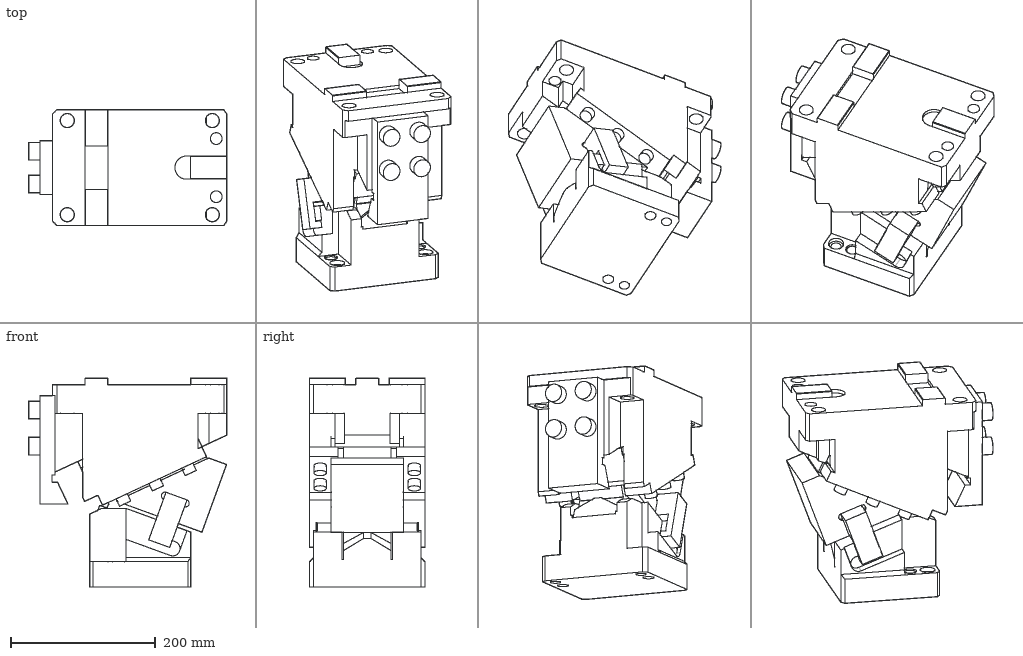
import cadquery as cq
import math


HALF_WIDTH = 80.0
OVERSHOOT = 14.5

GUIDE_ANGLE = math.radians(25)
GUIDE_X, GUIDE_Z = 17.5, 113.3
BED_ANGLE = math.radians(20)
BED_X, BED_Z = 50.0, 109.0

BASE_LENGTH = 140.0
FLANGE_HEIGHT = 35.3
CORNER_X, CORNER_Y = 4.3, 6.0
NOSE_HALF_WIDTH = 50.3
NOSE_EDGE_HEIGHT = 101.2
SHOULDER_HALF_WIDTH = 74.5
SHOULDER_CHAMFER = HALF_WIDTH - SHOULDER_HALF_WIDTH
CHEEK_HALF_WIDTH = 59.2
RAIL_HALF_WIDTH = 69.5
RAIL_START = 51.5
HOOK_POCKET_END = 90.0
HOOK_SLOT_RADIUS = 10.0
HOOK_SLOT_LEVEL = -30.0
GROOVE_HALF_WIDTH = 35.0
GROOVE_FLOOR = -35.5
RIDGE_LEVEL = -8.5
RIDGE_HALF_WIDTH = 5.5
ROOF_HALF_WIDTH = 33.0
ROOF_PITCH = math.radians(30)
EAVE_LEVEL = RIDGE_LEVEL - (ROOF_HALF_WIDTH - RIDGE_HALF_WIDTH) * math.tan(ROOF_PITCH)
ROOF_START = -35.5
NOSE_POCKET_FLOOR = -39.0
FOOT_HOLE_Y = 65.0
FOOT_SCREW_X, FOOT_SCREW_DIAMETER = 15.0, 14.0
FOOT_BORE_DIAMETER, FOOT_BORE_DEPTH = 20.5, 5.8
FOOT_DOWEL_X, FOOT_DOWEL_DIAMETER, FOOT_DOWEL_CHAMFER = 40.0, 15.0, 1.5

PLATE_LEFT, PLATE_RIGHT = -51.5, 189.5
PLATE_BOTTOM, PLATE_TOP = 240.2, 280.0
PLATE_CHAMFER = 6.0
PLATE_HOLE_XS = (-31.0, 169.4)
PLATE_HOLE_Y, PLATE_HOLE_DIAMETER = 65.0, 19.0
DOWEL_X, DOWEL_Y, DOWEL_DIAMETER = 174.8, 40.2, 16.2

KEY_TOP = 289.0
KEY_WIDTH = 32.0
KEY_LENGTH = 50.0
KEY_CHAMFER = 1.0
KEYWAY_DEPTH = 5.0
CROSS_KEY_X = 9.2
LONG_KEYWAY_ARC_X = 133.8

CHEEK_LEFT, CHEEK_RIGHT = -9.8, 149.7
CHEEK_TIP = -20.2
RIB_HALF_WIDTH = 44.8
RIB_RIGHT = 165.0
TAIL_HALF_WIDTH = 31.2
RETAINER_THICKNESS = 15.0
RETAINER_LENGTH = 158.7
RETAINER_INNER_Y = 40.2
RETAINER_SCREWS = 3
RETAINER_SCREW_PITCH = 50.0
RETAINER_SCREW_Y = 65.0
RETAINER_HEAD_DIAMETER, RETAINER_HEAD_HEIGHT = 17.0, 11.3
STOP_LEFT, STOP_SEAT = -68.8, -47.7
STOP_BOTTOM, STOP_TOP = 114.7, 264.7
STOP_HALF_WIDTH = 37.3
STOP_NOTCH_X = -52.0
STOP_NOTCH_BOTTOM, STOP_NOTCH_TOP = 145.0, 155.0
STOP_LIP_X, STOP_TOE_X = -44.2, -29.8
STOP_SCREW_Z, STOP_SCREW_PITCH_Y, STOP_SCREW_PITCH_Z = 220.0, 45.0, 50.0
STOP_HEAD_DIAMETER, STOP_HEAD_HEIGHT = 24.5, 15.5

HEAD_START, HEAD_END = -5.5, 153.0
HEAD_TOP = 69.0
HEAD_CHAMFER = 7.8
HEAD_HALF_WIDTH = 50.3
PAD_HALF_WIDTH, PAD_THICKNESS = 49.0, 9.8
NECK_START = 8.5
SLIDE_HALF_WIDTH = 50.0
SLIDE_GAP = 3.0
SLIDE_UNDERSIDE = 5.0
SLIDE_HEIGHT = 99.7
SLIDE_END = 110.0
KEEL_START, KEEL_END = -24.9, 75.0
HOOK_START, HOOK_WIDTH = 44.5, 31.0
HOOK_BOTTOM, HOOK_LENGTH = -30.0, 70.0
HOOK_INNER_Y = 70.5
HOOK_ROOT_LEVEL = 6.0
HOOK_TOE_Y, HOOK_TOE_HEIGHT = 62.7, 9.2
HOOK_SEAT_LENGTH, HOOK_SEAT_WIDTH, HOOK_SEAT_DEPTH = 40.2, 10.0, 5.0


def guide(along, above):
    """XZ point in the frame rising along the guide slot."""
    x = GUIDE_X + along * math.cos(GUIDE_ANGLE) - above * math.sin(GUIDE_ANGLE)
    z = GUIDE_Z + along * math.sin(GUIDE_ANGLE) + above * math.cos(GUIDE_ANGLE)
    return x, z


def bed(along, above):
    """XZ point in the frame falling along the bed of the base."""
    x = BED_X + along * math.cos(BED_ANGLE) + above * math.sin(BED_ANGLE)
    z = BED_Z - along * math.sin(BED_ANGLE) + above * math.cos(BED_ANGLE)
    return x, z


def guide_at_x(x, above):
    """Point with a given X on a line parallel to the guide slot."""
    along = (x - GUIDE_X + above * math.sin(GUIDE_ANGLE)) / math.cos(GUIDE_ANGLE)
    return guide(along, above)


def bed_at_x(x, above):
    """Point with a given X on a line parallel to the bed."""
    along = (x - BED_X - above * math.sin(BED_ANGLE)) / math.cos(BED_ANGLE)
    return bed(along, above)


def guide_meets_bed(above_guide, above_bed):
    """Point where a line parallel to the guide slot crosses one parallel to the bed."""
    start_x, start_z = guide(0, above_guide)
    start_height = (start_x - BED_X) * math.sin(BED_ANGLE) + (start_z - BED_Z) * math.cos(BED_ANGLE)
    along = (above_bed - start_height) / math.sin(GUIDE_ANGLE + BED_ANGLE)
    return guide(along, above_guide)


def rectangle(frame, start, end, low, high):
    return [frame(start, low), frame(end, low), frame(end, high), frame(start, high)]


def prism(points, half_width):
    """Solid with an XZ outline, centred on Y = 0."""
    return cq.Workplane("XZ").polyline(points).close().extrude(half_width, both=True)


def side_prisms(points, inner_y, outer_y):
    """Pair of solids with an XZ outline, one on each side of Y = 0."""
    near = cq.Workplane("XZ", origin=(0, -inner_y, 0)).polyline(points).close().extrude(outer_y - inner_y)
    return near.union(near.mirror("XZ"))


def box(x_range, y_range, z_range):
    (x0, x1), (y0, y1), (z0, z1) = x_range, y_range, z_range
    return cq.Workplane("XY").box(x1 - x0, y1 - y0, z1 - z0, centered=False).translate((x0, y0, z0))


def rounded_slots(start, end, level, radius, inner_y, outer_y):
    """Pair of round-ended slots between two end centres, parallel to the bed."""
    middle_x, middle_z = bed((start + end) / 2, level)
    near = (
        cq.Workplane("XZ", origin=(middle_x, -inner_y, middle_z))
        .slot2D(end - start + 2 * radius, 2 * radius, -math.degrees(BED_ANGLE))
        .extrude(outer_y - inner_y)
    )
    return near.union(near.mirror("XZ"))


def roof(start, end, bottom):
    """Roof-shaped bar lying along the bed."""
    x, z = bed(start, 0)
    across_bed = cq.Plane(
        origin=(x, 0, z),
        xDir=(0, 1, 0),
        normal=(math.cos(BED_ANGLE), 0, -math.sin(BED_ANGLE)),
    )
    right_half = [(ROOF_HALF_WIDTH, bottom), (ROOF_HALF_WIDTH, EAVE_LEVEL), (RIDGE_HALF_WIDTH, RIDGE_LEVEL)]
    left_half = [(-y, height) for y, height in reversed(right_half)]
    return cq.Workplane(across_bed).polyline(right_half + left_half).close().extrude(end - start)


def nose_top_corner():
    """Point where the sloping edge of the nose reaches its flat top."""
    return (BED_Z - NOSE_EDGE_HEIGHT) / math.tan(GUIDE_ANGLE), BED_Z


def base_blank():
    flange = box((0, BASE_LENGTH), (-HALF_WIDTH, HALF_WIDTH), (0, FLANGE_HEIGHT + SHOULDER_CHAMFER))
    for side in (-1, 1):
        edge = (
            cq.Workplane("YZ")
            .polyline([
                (side * HALF_WIDTH, FLANGE_HEIGHT),
                (side * SHOULDER_HALF_WIDTH, FLANGE_HEIGHT + SHOULDER_CHAMFER),
                (side * HALF_WIDTH, FLANGE_HEIGHT + SHOULDER_CHAMFER),
            ])
            .close()
            .extrude(BASE_LENGTH)
        )
        flange = flange.cut(edge)
    pads = box((0, BED_X), (-HALF_WIDTH, HALF_WIDTH), (FLANGE_HEIGHT, BED_Z))
    nose = prism(
        [(0, 0), (0, NOSE_EDGE_HEIGHT), nose_top_corner(), (BED_X, BED_Z), (BED_X, 0)],
        NOSE_HALF_WIDTH,
    )
    shoulder = prism(
        [(BED_X, 0), (BED_X, BED_Z), bed_at_x(BASE_LENGTH, 0), (BASE_LENGTH, 0)],
        SHOULDER_HALF_WIDTH,
    )
    blank = flange.cut(pads).union(nose).union(shoulder)
    return blank.intersect(chamfered_outline())


def chamfered_outline():
    """Tall block with the chamfered footprint of the base."""
    y = HALF_WIDTH
    corner_points = [
        (CORNER_X, -y), (BASE_LENGTH - CORNER_X, -y),
        (BASE_LENGTH, CORNER_Y - y), (BASE_LENGTH, y - CORNER_Y),
        (BASE_LENGTH - CORNER_X, y), (CORNER_X, y),
        (0, y - CORNER_Y), (0, CORNER_Y - y),
    ]
    return cq.Workplane("XY").polyline(corner_points).close().extrude(BED_Z + OVERSHOOT)


def make_base():
    base = base_blank()

    slot_end = HOOK_POCKET_END - HOOK_SLOT_RADIUS
    slot_floor = HOOK_SLOT_LEVEL - HOOK_SLOT_RADIUS
    outer_y = HALF_WIDTH + OVERSHOOT
    past_left = -BED_X
    rail_face = rectangle(bed, past_left, HOOK_POCKET_END, HOOK_SLOT_LEVEL, OVERSHOOT)
    entry = rectangle(bed, past_left, RAIL_START, slot_floor, OVERSHOOT)
    behind_nose = box((BED_X, BASE_LENGTH), (-outer_y, outer_y), (0, BED_Z + OVERSHOOT))
    pockets = (
        side_prisms(rail_face, RAIL_HALF_WIDTH, outer_y)
        .union(side_prisms(entry, CHEEK_HALF_WIDTH, outer_y))
        .union(rounded_slots(past_left, slot_end, HOOK_SLOT_LEVEL, HOOK_SLOT_RADIUS,
                             CHEEK_HALF_WIDTH, outer_y))
        .intersect(behind_nose)
    )
    base = base.cut(pockets)

    past_right = BASE_LENGTH
    groove = prism(rectangle(bed, -BASE_LENGTH, past_right, GROOVE_FLOOR, BED_Z), GROOVE_HALF_WIDTH)
    inside_base = box((0, BASE_LENGTH), (-HALF_WIDTH, HALF_WIDTH), (0, BED_Z + OVERSHOOT))
    bed_bar = roof(ROOF_START, past_right, NOSE_POCKET_FLOOR).intersect(inside_base)
    nose_pocket = prism(rectangle(bed, -BASE_LENGTH, ROOF_START, NOSE_POCKET_FLOOR, BED_Z), ROOF_HALF_WIDTH)
    base = base.cut(groove).cut(nose_pocket).union(bed_bar)

    screw_points = [(FOOT_SCREW_X, side * FOOT_HOLE_Y) for side in (-1, 1)]
    dowel_points = [(FOOT_DOWEL_X, side * FOOT_HOLE_Y) for side in (-1, 1)]
    pad_tops = cq.Workplane("XY", origin=(0, 0, FLANGE_HEIGHT))
    screws = pad_tops.pushPoints(screw_points).circle(FOOT_SCREW_DIAMETER / 2).extrude(-FLANGE_HEIGHT)
    bores = pad_tops.pushPoints(screw_points).circle(FOOT_BORE_DIAMETER / 2).extrude(-FOOT_BORE_DEPTH)
    dowels = pad_tops.pushPoints(dowel_points).circle(FOOT_DOWEL_DIAMETER / 2).extrude(-FLANGE_HEIGHT)
    mouths = (
        pad_tops.pushPoints(dowel_points)
        .circle(FOOT_DOWEL_DIAMETER / 2 + FOOT_DOWEL_CHAMFER)
        .extrude(-FOOT_DOWEL_CHAMFER, taper=45)
    )
    return base.cut(screws).cut(bores).cut(dowels).cut(mouths)


def holder_plate():
    y = HALF_WIDTH
    outline = [
        (PLATE_LEFT + PLATE_CHAMFER, -y), (PLATE_RIGHT - CORNER_X, -y),
        (PLATE_RIGHT, CORNER_Y - y), (PLATE_RIGHT, y - CORNER_Y),
        (PLATE_RIGHT - CORNER_X, y), (PLATE_LEFT + PLATE_CHAMFER, y),
        (PLATE_LEFT, y - PLATE_CHAMFER), (PLATE_LEFT, PLATE_CHAMFER - y),
    ]
    thickness = PLATE_TOP - PLATE_BOTTOM
    plate = cq.Workplane("XY", origin=(0, 0, PLATE_BOTTOM)).polyline(outline).close().extrude(thickness)

    seat = box((PLATE_LEFT, STOP_SEAT), (-HALF_WIDTH, HALF_WIDTH), (PLATE_BOTTOM, STOP_TOP))

    keyway_floor = PLATE_TOP - KEYWAY_DEPTH
    half_key = KEY_WIDTH / 2
    cross_keyway = box(
        (CROSS_KEY_X - half_key, CROSS_KEY_X + half_key), (-HALF_WIDTH, HALF_WIDTH), (keyway_floor, PLATE_TOP)
    )
    long_keyway = (
        cq.Workplane("XY", origin=(0, 0, keyway_floor))
        .moveTo(PLATE_RIGHT, -half_key)
        .lineTo(LONG_KEYWAY_ARC_X, -half_key)
        .threePointArc((LONG_KEYWAY_ARC_X - half_key, 0), (LONG_KEYWAY_ARC_X, half_key))
        .lineTo(PLATE_RIGHT, half_key)
        .close()
        .extrude(KEYWAY_DEPTH)
    )
    return plate.cut(seat).cut(cross_keyway).cut(long_keyway)


def plate_holes():
    screw_points = [(x, side * PLATE_HOLE_Y) for x in PLATE_HOLE_XS for side in (-1, 1)]
    dowel_points = [(DOWEL_X, side * DOWEL_Y) for side in (-1, 1)]
    thickness = PLATE_TOP - PLATE_BOTTOM
    plane = cq.Workplane("XY", origin=(0, 0, PLATE_BOTTOM))
    screws = plane.pushPoints(screw_points).circle(PLATE_HOLE_DIAMETER / 2).extrude(thickness)
    dowels = plane.pushPoints(dowel_points).circle(DOWEL_DIAMETER / 2).extrude(thickness)
    return screws.union(dowels)


def holder_keys():
    z_range = (PLATE_TOP - KEYWAY_DEPTH, KEY_TOP)
    half_key = KEY_WIDTH / 2
    long_key = box((PLATE_RIGHT - KEY_LENGTH, PLATE_RIGHT), (-half_key, half_key), z_range)
    keys = long_key.edges(">Z and |X").chamfer(KEY_CHAMFER)
    cross_range = (CROSS_KEY_X - half_key, CROSS_KEY_X + half_key)
    for y_range in ((-HALF_WIDTH, KEY_LENGTH - HALF_WIDTH), (HALF_WIDTH - KEY_LENGTH, HALF_WIDTH)):
        keys = keys.union(box(cross_range, y_range, z_range).edges(">Z and |Y").chamfer(KEY_CHAMFER))
    return keys


def holder_body():
    """Cheeks, central rib and tail below the plate, before the T-slot is cut."""
    tip_height = (GUIDE_X + CHEEK_TIP * math.cos(GUIDE_ANGLE) - CHEEK_LEFT) / math.sin(GUIDE_ANGLE)
    cheeks = prism(
        [
            (CHEEK_LEFT, PLATE_BOTTOM),
            guide(CHEEK_TIP, tip_height),
            guide(CHEEK_TIP, RETAINER_THICKNESS),
            guide_at_x(CHEEK_RIGHT, RETAINER_THICKNESS),
            (CHEEK_RIGHT, PLATE_BOTTOM),
        ],
        HALF_WIDTH,
    )

    def hanging_rib(left, right, half_width):
        lower_edge = [guide_at_x(right, RETAINER_THICKNESS), guide_at_x(left, RETAINER_THICKNESS)]
        return prism([(left, PLATE_BOTTOM), (right, PLATE_BOTTOM), *lower_edge], half_width)

    rib = hanging_rib(STOP_SEAT, RIB_RIGHT, RIB_HALF_WIDTH)
    tail = hanging_rib(RIB_RIGHT, PLATE_RIGHT, TAIL_HALF_WIDTH)
    return cheeks.union(rib).union(tail)


def t_slot():
    """Slot for the slide's T-head, open at its lower end."""
    slot_start = -RETAINER_LENGTH
    pad_bottom = HEAD_TOP - PAD_THICKNESS
    head_slot = prism(rectangle(guide, slot_start, RETAINER_LENGTH, 0, pad_bottom), HEAD_HALF_WIDTH)
    pad_slot = prism(rectangle(guide, slot_start, RETAINER_LENGTH, pad_bottom, HEAD_TOP), PAD_HALF_WIDTH)
    return head_slot.union(pad_slot)


def retainers():
    """Strips that close the T-slot from below, with their screw heads."""
    strips = side_prisms(
        rectangle(guide, 0, RETAINER_LENGTH, 0, RETAINER_THICKNESS), RETAINER_INNER_Y, HALF_WIDTH
    )
    first_screw = (RETAINER_LENGTH - (RETAINER_SCREWS - 1) * RETAINER_SCREW_PITCH) / 2
    downward = cq.Vector(math.sin(GUIDE_ANGLE), 0, -math.cos(GUIDE_ANGLE))
    for index in range(RETAINER_SCREWS):
        x, z = guide(first_screw + index * RETAINER_SCREW_PITCH, 0)
        for side in (-1, 1):
            centre = cq.Vector(x, side * RETAINER_SCREW_Y, z)
            head = cq.Solid.makeCylinder(RETAINER_HEAD_DIAMETER / 2, RETAINER_HEAD_HEIGHT, centre, downward)
            strips = strips.union(cq.Workplane(head))
    return strips


def stop_plate():
    plate = prism(
        [
            (STOP_LEFT, STOP_TOP), (STOP_SEAT, STOP_TOP),
            (STOP_SEAT, STOP_NOTCH_TOP), (STOP_NOTCH_X, STOP_NOTCH_TOP),
            (STOP_NOTCH_X, STOP_NOTCH_BOTTOM), (STOP_LIP_X, STOP_NOTCH_BOTTOM),
            (STOP_TOE_X, STOP_BOTTOM), (STOP_LEFT, STOP_BOTTOM),
        ],
        STOP_HALF_WIDTH,
    )
    heads = (
        cq.Workplane("YZ", origin=(STOP_LEFT, 0, STOP_SCREW_Z))
        .rarray(STOP_SCREW_PITCH_Y, STOP_SCREW_PITCH_Z, 2, 2)
        .circle(STOP_HEAD_DIAMETER / 2)
        .extrude(-STOP_HEAD_HEIGHT)
    )
    return plate.union(heads)


def make_holder():
    holder = holder_plate().union(holder_body()).cut(t_slot())
    holder = holder.union(holder_keys()).cut(plate_holes())
    return holder.union(retainers()).union(stop_plate())


def slide_head():
    """T-head running in the holder's slot, and the neck between the retainers."""
    pad_bottom = HEAD_TOP - PAD_THICKNESS
    head = prism(
        [
            guide(HEAD_START, pad_bottom),
            guide(HEAD_START, RETAINER_THICKNESS + HEAD_CHAMFER),
            guide(HEAD_START + HEAD_CHAMFER, RETAINER_THICKNESS),
            guide(HEAD_END, RETAINER_THICKNESS),
            guide(HEAD_END, pad_bottom),
        ],
        HEAD_HALF_WIDTH,
    )
    pad = prism(rectangle(guide, HEAD_START, HEAD_END, pad_bottom, HEAD_TOP), PAD_HALF_WIDTH)
    neck = prism(
        rectangle(guide, NECK_START, RETAINER_LENGTH, -SLIDE_GAP, RETAINER_THICKNESS), ROOF_HALF_WIDTH
    )
    return head.union(pad).union(neck)


def slide_body():
    """Wedge between the retainers and the bed."""
    slide_top = SLIDE_UNDERSIDE + SLIDE_HEIGHT
    return prism(
        [
            guide_meets_bed(-SLIDE_GAP, SLIDE_UNDERSIDE),
            guide_meets_bed(-SLIDE_GAP, slide_top),
            bed(SLIDE_END, slide_top),
            bed(SLIDE_END, SLIDE_UNDERSIDE),
        ],
        SLIDE_HALF_WIDTH,
    )


def slide_keel():
    """Keel that sits astride the roof of the base."""
    below_roof = GROOVE_FLOOR
    slide_top = SLIDE_UNDERSIDE + SLIDE_HEIGHT
    block = prism(rectangle(bed, KEEL_START, KEEL_END, below_roof, slide_top), ROOF_HALF_WIDTH)
    above_shoulder = prism(
        rectangle(guide, -RETAINER_LENGTH, 2 * RETAINER_LENGTH, -SLIDE_GAP, RETAINER_LENGTH), HALF_WIDTH
    )
    return block.cut(above_shoulder).cut(roof(KEEL_START, KEEL_END, below_roof))


def slide_hooks():
    hook_end = HOOK_START + HOOK_WIDTH
    hook_top = HOOK_BOTTOM + HOOK_LENGTH
    arm = side_prisms(rectangle(bed, HOOK_START, hook_end, HOOK_BOTTOM, hook_top), HOOK_INNER_Y, HALF_WIDTH)
    root = side_prisms(
        rectangle(bed, HOOK_START, hook_end, HOOK_ROOT_LEVEL, hook_top), SLIDE_HALF_WIDTH, HOOK_INNER_Y
    )
    toe_top = HOOK_BOTTOM + HOOK_TOE_HEIGHT
    toe = side_prisms(
        rectangle(bed, HOOK_START, hook_end, HOOK_BOTTOM, toe_top), HOOK_TOE_Y, HOOK_INNER_Y
    )
    return arm.union(root).union(toe)


def make_slide():
    slide = slide_body().union(slide_keel()).union(slide_head())

    seat_radius = HOOK_SEAT_WIDTH / 2
    seat_middle = HOOK_START + HOOK_WIDTH / 2
    half_span = HOOK_SEAT_LENGTH / 2 - seat_radius
    hook_top = HOOK_BOTTOM + HOOK_LENGTH
    seats = rounded_slots(seat_middle - half_span, seat_middle + half_span,
                          hook_top - seat_radius, seat_radius,
                          SLIDE_HALF_WIDTH - HOOK_SEAT_DEPTH, SLIDE_HALF_WIDTH)
    seat_fill = side_prisms(
        rectangle(bed, HOOK_START, HOOK_START + HOOK_WIDTH, hook_top - HOOK_SEAT_WIDTH, hook_top),
        SLIDE_HALF_WIDTH - HOOK_SEAT_DEPTH, SLIDE_HALF_WIDTH,
    )
    return slide.cut(seats).union(seat_fill).union(slide_hooks())


base = make_base()
holder = make_holder()
slide = make_slide()

result = cq.Compound.makeCompound([body.solids().val() for body in (base, holder, slide)])